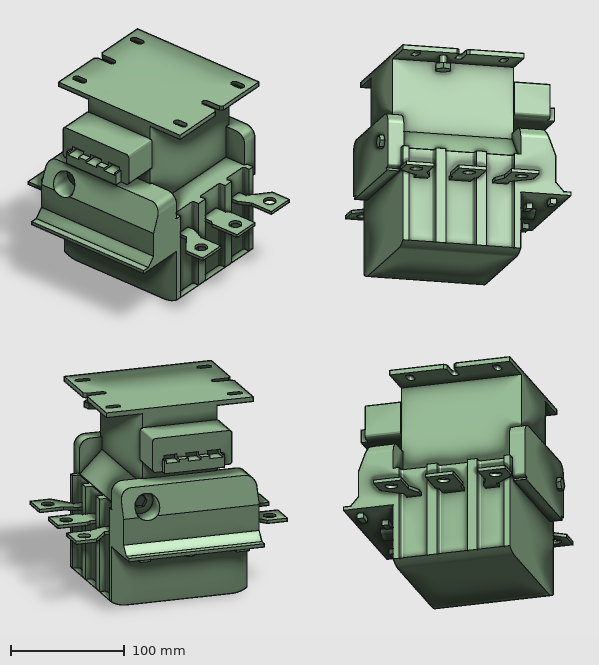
import cadquery as cq
import math

HEIGHT = 180.0
PLATE_HALF_X = 68.5
PLATE_HALF_Y = 55.4
PLATE_T = 4.3
SLOT_X = 56.7
SLOT_Y = 40.2
SLOT_LENGTH = 13.4
SLOT_W = 6.5
OPEN_SLOT_END_X = 49.5
OPEN_SLOT_CHAMFER = 2.5

COLUMN_HALF_X = 34.9
BODY_HALF_X = 63.2
BODY_HALF_Y = 53.8
BODY_TOP = 89.8
SHOULDER_OUTER_X = 55.5
SHOULDER_TOP = BODY_TOP + SHOULDER_OUTER_X - COLUMN_HALF_X
BOTTOM_ARC_W = 14.2
BOTTOM_ARC_H = 4.3

POCKETS = [(23.5, 48.3), (-13.2, 14.5), (-48.3, -22.7)]
POCKET_FLOOR_X = 56.7
POCKET_FILLET = 2.2

TERMINAL_END_X = 98.5
TERMINAL_Z = 63.5
TERMINAL_T = 3.0
TERMINAL_HALF_W = 12.6
TERMINAL_PITCH = 48.0
TERMINAL_HOLE_X = 86.5
TERMINAL_HOLE_D = 11.0
OUTER_SHOULDER_X = 79.5
INNER_SHOULDER_X = 76.2
NECK_START_X = 64.6
FRONT_NECK_START_X = 65.8
NECK_INNER_Y = 29.7
REAR_NECK_OUTER_Y = 42.0
FRONT_NECK_OUTER_Y = 43.1
MIDDLE_SHOULDER_X = 70.3
MIDDLE_CHAMFER = 2.8

HOUSING_TOP = 115.6
HOUSING_TOP_Y = -76.2
HOUSING_FRONT_Y = -85.9
HOUSING_BEND_Z = 90.5
LIP_ROOT_Y = -93.2
LIP_END_Y = -99.7
LIP_BOTTOM = 55.4
LIP_T = 3.2
LIP_SLOPE_TOP = 66.5
CORNER_R = 10.2

STUD_BOTTOM = 50.5
STUD_LENGTH = 5.7
REAR_STUD_Y = -71.7
FRONT_STUD_Y = -87.7
STUDS = [
    (-49.5, -39.8, FRONT_STUD_Y),
    (-28.2, -17.1, REAR_STUD_Y),
    (19.3, 29.7, REAR_STUD_Y),
    (40.5, 52.5, FRONT_STUD_Y),
]
BOSS_R = 9.7
BOSS_BOTTOM = 48.3
BOSS_END_Y = -83.0

REAR_HALF_X = 56.0
REAR_START_Y = 51.0
REAR_END_Y = 65.5
REAR_BOTTOM = 69.3
REAR_TOP = 122.0
REAR_BOTTOM_FILLET = 2.2
FOOT_H = 2.8
FOOT_TOP_HALF_X = 50.0

BOLT_X = -40.0
BOLT_Z = 98.3
BOLT_HEX = 12.0
BOLT_END_Y = 69.7
BOLT_HOLE_R = 11.5
BOLT_HOLE_FLOOR_Y = -65.0
SOCKET_DEPTH = 4.0

BOX_HALF_X = 37.0
BOX_FRONT_Y = -88.0
BOX_BOTTOM = 131.4
BOX_TOP = 162.7
BOX_FILLET = 3.0
STRIP_HALF_X = 28.0
STRIP_FRONT_Y = -94.5
STRIP_TOP = 143.2
NOTCH_PITCH = 20.3
NOTCH_W = 12.0
NOTCH_BOTTOM = 140.9
NOTCH_TOP = 146.2
NOTCH_DEPTH = 6.0

SCREW_X = -56.3
SCREW_Y = 15.2
SCREW_SHANK_D = 6.7
SCREW_HEX = 15.0
SCREW_TURN = -15
SCREW_HEAD_BOTTOM = 163.0
SCREW_HEAD_TOP = 168.0


def block(x0, x1, y0, y1, z0, z1):
    """Box given by its limits along each axis."""
    return cq.Workplane("XY").box(x1 - x0, y1 - y0, z1 - z0, centered=False).translate((x0, y0, z0))


def section_along_y(y):
    """XZ sketch plane at the given Y; positive extrusion goes toward -Y."""
    return cq.Workplane("XZ", origin=(0, y, 0))


def both_sides(shape):
    return shape.union(shape.mirror("YZ"))


def make_plate():
    plate = block(-PLATE_HALF_X, PLATE_HALF_X, -PLATE_HALF_Y, PLATE_HALF_Y, HEIGHT - PLATE_T, HEIGHT)
    closed_slots = (
        cq.Workplane("XY", origin=(0, 0, HEIGHT - PLATE_T))
        .rect(2 * SLOT_X, 2 * SLOT_Y, forConstruction=True)
        .vertices()
        .slot2D(SLOT_LENGTH, SLOT_W)
        .extrude(PLATE_T)
    )
    half_w = SLOT_W / 2
    mouth_half_w = half_w + OPEN_SLOT_CHAMFER
    open_slot = (
        cq.Workplane("XY", origin=(0, 0, HEIGHT - PLATE_T))
        .moveTo(PLATE_HALF_X, -mouth_half_w)
        .lineTo(PLATE_HALF_X, mouth_half_w)
        .lineTo(PLATE_HALF_X - OPEN_SLOT_CHAMFER, half_w)
        .lineTo(OPEN_SLOT_END_X + half_w, half_w)
        .threePointArc((OPEN_SLOT_END_X, 0), (OPEN_SLOT_END_X + half_w, -half_w))
        .lineTo(PLATE_HALF_X - OPEN_SLOT_CHAMFER, -half_w)
        .close()
        .extrude(PLATE_T)
    )
    return plate.cut(closed_slots).cut(both_sides(open_slot))


def make_body():
    arc_r = (BOTTOM_ARC_W**2 + BOTTOM_ARC_H**2) / (2 * BOTTOM_ARC_H)
    half_angle = math.asin(BOTTOM_ARC_W / arc_r) / 2
    flat_half_x = BODY_HALF_X - BOTTOM_ARC_W
    mid_x = flat_half_x + arc_r * math.sin(half_angle)
    mid_z = arc_r * (1 - math.cos(half_angle))
    return (
        section_along_y(BODY_HALF_Y)
        .moveTo(-flat_half_x, 0)
        .lineTo(flat_half_x, 0)
        .threePointArc((mid_x, mid_z), (BODY_HALF_X, BOTTOM_ARC_H))
        .lineTo(BODY_HALF_X, BODY_TOP)
        .lineTo(COLUMN_HALF_X, BODY_TOP)
        .lineTo(COLUMN_HALF_X, SHOULDER_TOP)
        .lineTo(-COLUMN_HALF_X, SHOULDER_TOP)
        .lineTo(-SHOULDER_OUTER_X, BODY_TOP)
        .lineTo(-BODY_HALF_X, BODY_TOP)
        .lineTo(-BODY_HALF_X, BOTTOM_ARC_H)
        .threePointArc((-mid_x, mid_z), (-flat_half_x, 0))
        .close()
        .extrude(2 * BODY_HALF_Y)
    )


def make_pockets():
    pockets = cq.Workplane("XY")
    for y0, y1 in POCKETS:
        pocket = block(POCKET_FLOOR_X, BODY_HALF_X, y0, y1, BOTTOM_ARC_H, BODY_TOP)
        pockets = pockets.union(pocket.edges("|Z and <X").fillet(POCKET_FILLET))
    return both_sides(pockets)


def terminal_from(points, y):
    """Flat terminal with its bolt hole centred at Y = y."""
    hole = cq.Workplane("XY").center(TERMINAL_HOLE_X, y).circle(TERMINAL_HOLE_D / 2).extrude(TERMINAL_T)
    return cq.Workplane("XY").polyline(points).close().extrude(TERMINAL_T).cut(hole)


def outer_terminal(side, neck_outer_x, neck_outer_y):
    """Terminal cranked away from the middle; side is +1 at the rear and -1 at the front."""
    inner_y = TERMINAL_PITCH - TERMINAL_HALF_W
    outer_y = TERMINAL_PITCH + TERMINAL_HALF_W
    points = [
        (TERMINAL_END_X, side * inner_y),
        (TERMINAL_END_X, side * outer_y),
        (OUTER_SHOULDER_X, side * outer_y),
        (neck_outer_x, side * neck_outer_y),
        (POCKET_FLOOR_X, side * neck_outer_y),
        (POCKET_FLOOR_X, side * NECK_INNER_Y),
        (NECK_START_X, side * NECK_INNER_Y),
        (INNER_SHOULDER_X, side * inner_y),
    ]
    return terminal_from(points, side * TERMINAL_PITCH)


def middle_terminal():
    neck_half_w = TERMINAL_HALF_W - MIDDLE_CHAMFER
    neck_x = MIDDLE_SHOULDER_X - MIDDLE_CHAMFER
    points = [
        (TERMINAL_END_X, -TERMINAL_HALF_W),
        (TERMINAL_END_X, TERMINAL_HALF_W),
        (MIDDLE_SHOULDER_X, TERMINAL_HALF_W),
        (neck_x, neck_half_w),
        (POCKET_FLOOR_X, neck_half_w),
        (POCKET_FLOOR_X, -neck_half_w),
        (neck_x, -neck_half_w),
        (MIDDLE_SHOULDER_X, -TERMINAL_HALF_W),
    ]
    return terminal_from(points, 0)


def make_terminals():
    terminals = (
        middle_terminal()
        .union(outer_terminal(1, NECK_START_X, REAR_NECK_OUTER_Y))
        .union(outer_terminal(-1, FRONT_NECK_START_X, FRONT_NECK_OUTER_Y))
    )
    return both_sides(terminals).translate((0, 0, TERMINAL_Z))


def make_housing():
    profile = [
        (-BODY_HALF_Y, LIP_BOTTOM),
        (-BODY_HALF_Y, HOUSING_TOP),
        (HOUSING_TOP_Y, HOUSING_TOP),
        (HOUSING_FRONT_Y, HOUSING_BEND_Z),
        (HOUSING_FRONT_Y, LIP_SLOPE_TOP),
        (LIP_ROOT_Y, LIP_BOTTOM + LIP_T),
        (LIP_END_Y, LIP_BOTTOM + LIP_T),
        (LIP_END_Y, LIP_BOTTOM),
    ]
    housing = cq.Workplane("YZ").polyline(profile).close().extrude(BODY_HALF_X, both=True)
    rounded_envelope = block(
        -BODY_HALF_X, BODY_HALF_X, LIP_END_Y, -BODY_HALF_Y, LIP_BOTTOM, HOUSING_TOP
    ).edges("|Y and >Z").fillet(CORNER_R)
    return housing.intersect(rounded_envelope)


def make_boss_and_studs():
    studs = (
        section_along_y(-BODY_HALF_Y)
        .center(0, BOSS_BOTTOM + BOSS_R)
        .circle(BOSS_R)
        .extrude(-BODY_HALF_Y - BOSS_END_Y)
    )
    for x0, x1, y in STUDS:
        stud = block(x0, x1, y - STUD_LENGTH / 2, y + STUD_LENGTH / 2, STUD_BOTTOM, LIP_BOTTOM)
        studs = studs.union(stud)
    return studs


def make_rear_block():
    depth = REAR_END_Y - REAR_START_Y
    shell_bottom = REAR_BOTTOM + FOOT_H
    rear = (
        block(-REAR_HALF_X, REAR_HALF_X, REAR_START_Y, REAR_END_Y, shell_bottom, REAR_TOP)
        .edges("|Y and >Z").fillet(CORNER_R)
        .edges("|Y and <Z").fillet(REAR_BOTTOM_FILLET)
    )
    foot_bottom_half_x = FOOT_TOP_HALF_X + FOOT_H
    foot = (
        section_along_y(REAR_END_Y)
        .moveTo(-foot_bottom_half_x, REAR_BOTTOM)
        .lineTo(foot_bottom_half_x, REAR_BOTTOM)
        .lineTo(FOOT_TOP_HALF_X, shell_bottom)
        .lineTo(-FOOT_TOP_HALF_X, shell_bottom)
        .close()
        .extrude(depth)
    )
    return rear.union(foot)


def bolt_hex(y, length):
    """Hexagonal prism on the bolt axis, running from Y = y toward -Y."""
    return section_along_y(y).center(BOLT_X, BOLT_Z).polygon(6, BOLT_HEX).extrude(length)


def make_bolt_hole():
    hole = (
        section_along_y(BOLT_HOLE_FLOOR_Y)
        .center(BOLT_X, BOLT_Z)
        .circle(BOLT_HOLE_R)
        .extrude(BOLT_HOLE_FLOOR_Y - LIP_END_Y)
    )
    return hole.union(bolt_hex(BOLT_HOLE_FLOOR_Y + SOCKET_DEPTH, SOCKET_DEPTH))


def make_auxiliary_box():
    box = block(
        -BOX_HALF_X, BOX_HALF_X, BOX_FRONT_Y, -PLATE_HALF_Y, BOX_BOTTOM, BOX_TOP
    ).edges("|Y").fillet(BOX_FILLET)
    strip = block(-STRIP_HALF_X, STRIP_HALF_X, STRIP_FRONT_Y, BOX_FRONT_Y, BOX_BOTTOM, STRIP_TOP)
    box = box.union(strip)
    for i in (-1, 0, 1):
        x = i * NOTCH_PITCH
        notch = block(
            x - NOTCH_W / 2, x + NOTCH_W / 2,
            STRIP_FRONT_Y, BOX_FRONT_Y + NOTCH_DEPTH,
            NOTCH_BOTTOM, NOTCH_TOP,
        )
        box = box.cut(notch)
    return box


def make_screw():
    head = (
        cq.Workplane("XY")
        .polygon(6, SCREW_HEX)
        .extrude(SCREW_HEAD_TOP - SCREW_HEAD_BOTTOM)
        .rotate((0, 0, 0), (0, 0, 1), SCREW_TURN)
    )
    shank = cq.Workplane("XY").circle(SCREW_SHANK_D / 2).extrude(HEIGHT - PLATE_T - SCREW_HEAD_BOTTOM)
    return head.union(shank).translate((SCREW_X, SCREW_Y, SCREW_HEAD_BOTTOM))


column = block(
    -COLUMN_HALF_X, COLUMN_HALF_X, -PLATE_HALF_Y, PLATE_HALF_Y, SHOULDER_TOP, HEIGHT - PLATE_T
)

result = (
    make_body()
    .cut(make_pockets())
    .union(make_terminals())
    .union(column)
    .union(make_plate())
    .union(make_housing())
    .union(make_boss_and_studs())
    .union(make_rear_block())
    .union(bolt_hex(BOLT_END_Y, BOLT_END_Y - REAR_END_Y))
    .cut(make_bolt_hole())
    .union(make_auxiliary_box())
    .union(make_screw())
)